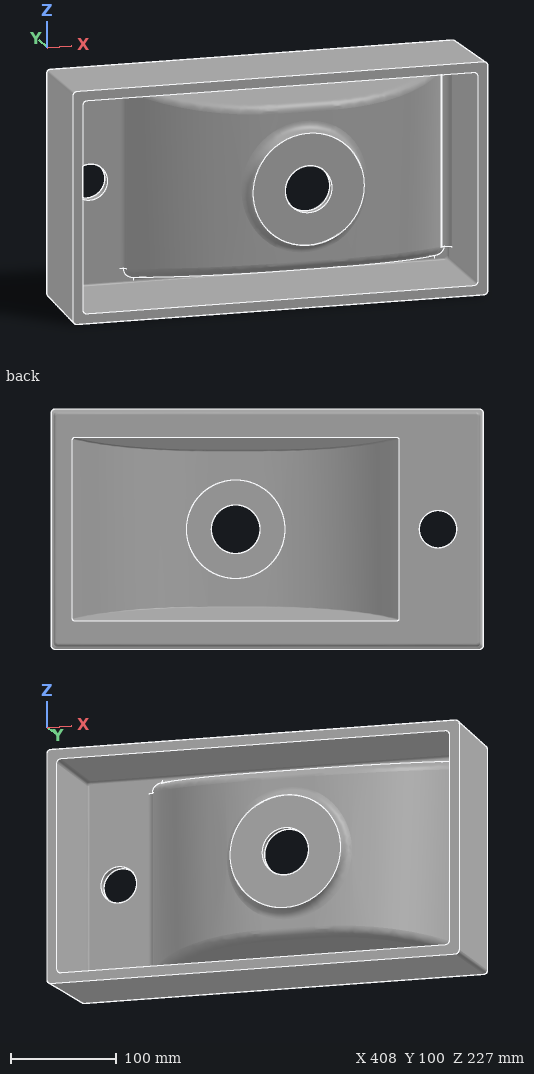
import cadquery as cq
import math

length = 408.0
depth = 100.0
height = 227.0
draft = 1.5
corner_radius = 4.0
back_edge_radius = 3.0
wall = 9.8
plate_thickness = 9.8
cavity_edge_radius = 2.5

front_y = -depth / 2
back_y = depth / 2
plate_y = back_y - plate_thickness
cavity_length = length - 2 * wall
cavity_height = height - 2 * wall

bowl_x = 29.8
bowl_floor_y = -33.5
bowl_flat_half = 26.5
bowl_arc_radius = 153.5
bowl_arc_angle = 57.0
bowl_half_height = 98.0
bowl_side_draft = 11.5
bowl_edge_radius = 9.8
bowl_wall = 8.0
basin_half_height = 86.5
basin_side_draft = 9.0
basin_edge_radius = 2.0

plate_blend_radius = 6.5
wall_blend_radius = 5.7
side_blend_radius = 3.0
blend_overlap = 1.2

drain_radius = 23.0
boss_radius = 54.5
boss_height = 9.8
boss_blend_radius = 9.5
tap_x = -161.0
tap_radius = 17.5


def shift(run, angle):
    """Sideways shift of a face leaning by angle (degrees) over a run."""
    return run * math.tan(math.radians(angle))


def drafted_block(front_length, front_height, y_end, end_radius):
    """Block from the front plane to y_end that narrows with the draft and has rounded edges."""
    run = y_end - front_y
    narrowing = 2 * shift(run, draft)
    return (
        cq.Workplane("XZ", origin=(0, front_y, 0))
        .rect(front_length, front_height)
        .workplane(offset=-run)
        .rect(front_length - narrowing, front_height - narrowing)
        .loft(ruled=True)
        .edges("not (<Y or >Y)")
        .fillet(corner_radius)
        .faces(">Y")
        .edges()
        .fillet(end_radius)
    )


def bowl_block(inset, back_half_height, side_draft, edge_radius):
    """Solid bowl shape, its trough set in by inset from the outer surface of the bowl."""
    floor_y = bowl_floor_y + inset
    radius = bowl_arc_radius - inset
    center_y = bowl_floor_y + bowl_arc_radius

    def arc_point(degrees):
        angle = math.radians(degrees)
        return bowl_flat_half + radius * math.sin(angle), center_y - radius * math.cos(angle)

    mid_x, mid_y = arc_point(bowl_arc_angle / 2)
    end_x, end_y = arc_point(bowl_arc_angle)
    top_x = end_x + shift(back_y - end_y, 90 - bowl_arc_angle)
    trough = (
        cq.Workplane("XY", origin=(bowl_x, 0, 0))
        .moveTo(-top_x, back_y)
        .lineTo(-end_x, end_y)
        .threePointArc((-mid_x, mid_y), (-bowl_flat_half, floor_y))
        .lineTo(bowl_flat_half, floor_y)
        .threePointArc((mid_x, mid_y), (end_x, end_y))
        .lineTo(top_x, back_y)
        .close()
        .extrude(height / 2, both=True)
    )
    front_half_height = back_half_height - shift(depth, side_draft)
    sides = (
        cq.Workplane("YZ")
        .moveTo(back_y, -back_half_height)
        .lineTo(back_y, back_half_height)
        .lineTo(front_y, front_half_height)
        .lineTo(front_y, -front_half_height)
        .close()
        .extrude(length, both=True)
    )
    block = trough.intersect(sides)
    return block.faces(">Z or <Z").edges("not >Y").fillet(edge_radius)


def blend_strip(plane, corner, directions, radius, half_span):
    """Strip filling the groove between two faces that leave corner at the given angles (degrees)."""
    corner = cq.Vector(*corner)
    first, second = [
        cq.Vector(math.cos(math.radians(angle)), math.sin(math.radians(angle))) for angle in directions
    ]
    half_angle = first.getAngle(second) / 2
    tangent_length = radius / math.tan(half_angle)
    bisector = (first + second).normalized()
    start = corner + first * tangent_length
    middle = corner + bisector * (radius / math.sin(half_angle) - radius)
    end = corner + second * tangent_length
    buried = corner - bisector * blend_overlap
    return (
        cq.Workplane(plane)
        .moveTo(buried.x, buried.y)
        .lineTo(start.x, start.y)
        .threePointArc((middle.x, middle.y), (end.x, end.y))
        .close()
        .extrude(half_span, both=True)
    )


def cylinder_y(x, radius, y_start, y_end):
    """Cylinder along Y at height zero."""
    return cq.Workplane("XZ", origin=(x, y_end, 0)).circle(radius).extrude(y_end - y_start)


casing = drafted_block(length, height, back_y, back_edge_radius)
cavity = drafted_block(cavity_length, cavity_height, plate_y, cavity_edge_radius)
outer_bowl = bowl_block(0, bowl_half_height, bowl_side_draft, bowl_edge_radius)
result = casing.cut(cavity).union(outer_bowl)

arc_end = math.radians(bowl_arc_angle)
slope_start_x = bowl_flat_half + bowl_arc_radius * math.sin(arc_end)
slope_start_y = bowl_floor_y + bowl_arc_radius * (1 - math.cos(arc_end))
foot_x = slope_start_x + shift(plate_y - slope_start_y, 90 - bowl_arc_angle)
foot_half_height = bowl_half_height - shift(plate_thickness, bowl_side_draft)
end_blend_half = foot_half_height - bowl_edge_radius
side_blend_half = foot_x - bowl_edge_radius

plate_corner = (bowl_x - foot_x, plate_y)
plate_strip = blend_strip("XY", plate_corner, (180, -bowl_arc_angle), plate_blend_radius, end_blend_half)

wall_x = cavity_length / 2 - shift(plate_y - front_y, draft)
slope_gap = wall_x - (bowl_x + foot_x)
wall_corner = (wall_x, plate_y + shift(slope_gap, bowl_arc_angle))
wall_angles = (180 + bowl_arc_angle, draft - 90)
wall_strip = blend_strip("XY", wall_corner, wall_angles, wall_blend_radius, end_blend_half)

side_corner = (plate_y, foot_half_height)
side_angles = (90, 180 + bowl_side_draft)
side_strip = blend_strip("YZ", side_corner, side_angles, side_blend_radius, side_blend_half)
side_strip = side_strip.translate((bowl_x, 0, 0))

for strip in (plate_strip, wall_strip, side_strip, side_strip.mirror("XY")):
    result = result.union(strip)

boss_root_y = 0
boss_y = bowl_floor_y - boss_height
result = result.union(cylinder_y(bowl_x, boss_radius, boss_y, boss_root_y))
margin = 0.5
boss_foot = cq.selectors.BoxSelector(
    (bowl_x - boss_radius - margin, boss_y + margin, -boss_radius - margin),
    (bowl_x + boss_radius + margin, boss_root_y, boss_radius + margin),
    boundingbox=True,
)
result = result.edges(boss_foot).fillet(boss_blend_radius)

result = result.cut(bowl_block(bowl_wall, basin_half_height, basin_side_draft, basin_edge_radius))
result = result.cut(cylinder_y(bowl_x, boss_radius - bowl_wall, boss_y + bowl_wall, back_y))
result = result.cut(cylinder_y(bowl_x, drain_radius, front_y, back_y))
result = result.cut(cylinder_y(tap_x, tap_radius, front_y, back_y))